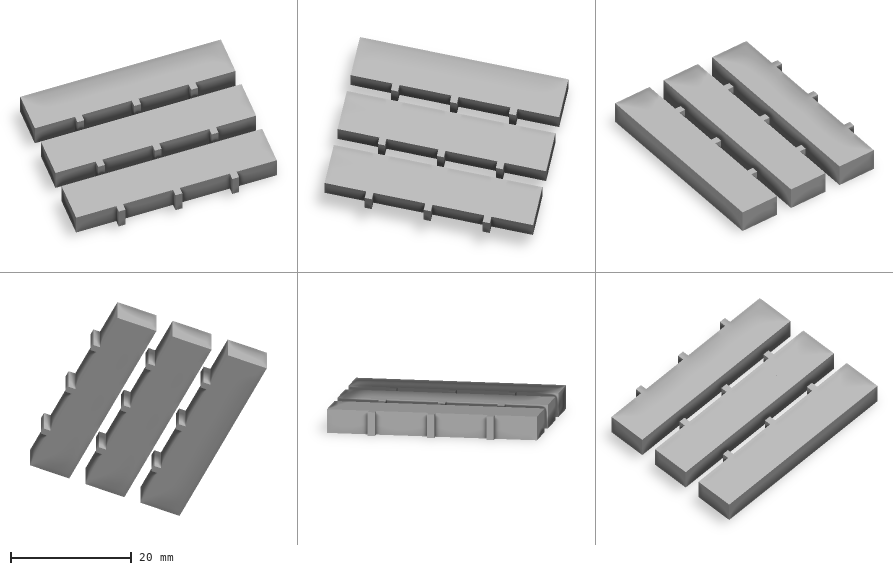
import cadquery as cq

pitch = 10.0
column_length = 35.35
block_width = 7.07
height = 4.0
tab_size = 1.2
column_count = 3

end_length = pitch
middle_length = column_length - 2 * end_length
end_center_y = (column_length - end_length) / 2
total_width = (column_count - 1) * pitch + block_width + tab_size
first_column_x = -total_width / 2


def tabbed_block(left_x, center_y, length, tab_y):
    """Rectangular block with one tab on its +X side."""
    block = cq.Workplane("XY").box(block_width, length, height, centered=(False, True, False))
    block = block.translate((left_x, center_y, 0))
    tab = cq.Workplane("XY").box(tab_size, tab_size, height, centered=(False, True, False))
    tab = tab.translate((left_x + block_width, tab_y, 0))
    return block.union(tab)


def end_block(left_x, side):
    """Outer block of a column; side is -1 for the -Y end and +1 for the +Y end."""
    return tabbed_block(left_x, side * end_center_y, end_length, side * pitch)


def middle_block(left_x):
    """Central block of a column, touching both end blocks."""
    return tabbed_block(left_x, 0, middle_length, 0)


end_blocks = []
middle_blocks = []
for column in range(column_count):
    column_x = first_column_x + column * pitch
    middle_blocks.append(middle_block(column_x).val())
    for end_side in (-1, 1):
        end_blocks.append(end_block(column_x, end_side).val())

result = cq.Compound.makeCompound([*end_blocks, *middle_blocks])